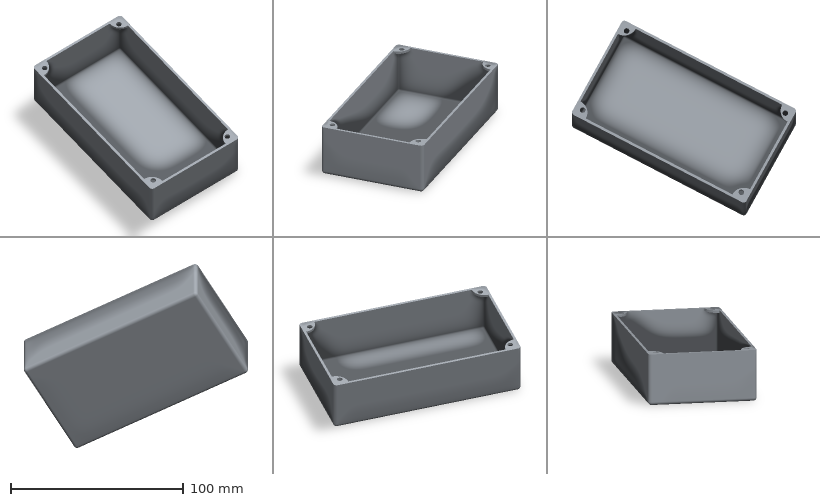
import cadquery as cq

length = 114.5
width = 64.0
height = 30.5
outer_radius = 2.0
wall = 1.5
floor = 1.5
inner_radius = 1.0
tab_radius = 7.5
tab_thickness = 1.5
hole_diameter = 3.2
hole_inset = 5.0

cavity_length = length - 2 * wall
cavity_width = width - 2 * wall


def rounded_block(block_length, block_width, block_height, radius):
    """Block on the XY plane with rounded vertical and bottom edges and a sharp top."""
    block = cq.Workplane("XY").box(block_length, block_width, block_height, centered=(True, True, False))
    return block.edges("|Z").fillet(radius).faces("<Z").edges().fillet(radius)


def corner_points(span_x, span_y):
    """The four corners of a rectangle centred on the origin."""
    return [(sx * span_x / 2, sy * span_y / 2) for sx in (-1, 1) for sy in (-1, 1)]


outer = rounded_block(length, width, height, outer_radius)
cavity = rounded_block(cavity_length, cavity_width, height - floor, inner_radius)
tray = outer.cut(cavity.translate((0, 0, floor)))

tabs = (
    cq.Workplane("XY")
    .workplane(offset=height - tab_thickness)
    .pushPoints(corner_points(cavity_length, cavity_width))
    .circle(tab_radius)
    .extrude(tab_thickness)
    .intersect(outer)
)

holes = (
    cq.Workplane("XY")
    .workplane(offset=height - tab_thickness)
    .pushPoints(corner_points(length - 2 * hole_inset, width - 2 * hole_inset))
    .circle(hole_diameter / 2)
    .extrude(tab_thickness)
)

result = tray.union(tabs).cut(holes)